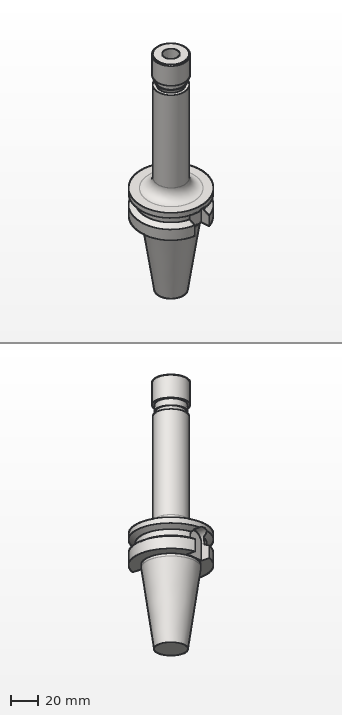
import cadquery as cq
import math

taper_length = 65.5
taper_large_radius = 22.2
taper_ratio = 7 / 24
taper_small_radius = taper_large_radius - taper_length * taper_ratio / 2
land_height = 2.0

flange_radius = 31.5
flange_bottom = taper_length + land_height
flange_top = flange_bottom + 25.2
groove_floor_radius = 26.5
groove_floor_height = 5.0
groove_side_height = 2.8
lower_rim_height = 10.0
lower_rim_top = flange_bottom + lower_rim_height
groove_floor_bottom = lower_rim_top + groove_side_height
groove_floor_top = groove_floor_bottom + groove_floor_height
upper_rim_bottom = groove_floor_top + groove_side_height

slot_width = 16.2
slot_height = 21.8
slot_floor_distance = 22.6

neck_radius = 13.5
neck_top = 187.5
neck_fillet = 10.0

total_height = 215.5
nut_radius = 14.2
nut_height = 19.0
nut_bottom = total_height - nut_height
nut_chamfer = 0.9
collar_radius = 12.3
collar_height = 5.4
collar_bottom = nut_bottom - collar_height
relief_top_radius = 11.6
relief_bottom_radius = 10.8

bore_radius = 6.5
bore_depth = 43


def make_body():
    """Revolve the half outline of the holder around the Z axis."""
    fillet_center_radius = neck_radius + neck_fillet
    fillet_center_z = flange_top + neck_fillet
    fillet_offset = neck_fillet * math.sqrt(0.5)
    fillet_middle = (fillet_center_radius - fillet_offset, fillet_center_z - fillet_offset)
    outline = (
        cq.Workplane("XZ")
        .lineTo(taper_small_radius, 0)
        .lineTo(taper_large_radius, taper_length)
        .lineTo(taper_large_radius, flange_bottom)
        .lineTo(flange_radius, flange_bottom)
        .lineTo(flange_radius, lower_rim_top)
        .lineTo(groove_floor_radius, groove_floor_bottom)
        .lineTo(groove_floor_radius, groove_floor_top)
        .lineTo(flange_radius, upper_rim_bottom)
        .lineTo(flange_radius, flange_top)
        .lineTo(fillet_center_radius, flange_top)
        .threePointArc(fillet_middle, (neck_radius, fillet_center_z))
        .lineTo(neck_radius, neck_top)
        .lineTo(relief_bottom_radius, neck_top)
        .lineTo(relief_top_radius, collar_bottom)
        .lineTo(collar_radius, collar_bottom)
        .lineTo(collar_radius, nut_bottom)
        .lineTo(nut_radius, nut_bottom)
        .lineTo(nut_radius, total_height - nut_chamfer)
        .lineTo(nut_radius - nut_chamfer, total_height)
        .lineTo(0, total_height)
        .close()
    )
    return outline.revolve(360, (0, 0, 0), (0, 1, 0))


def make_drive_slot(side):
    """Round-topped slot cutter outside the slot floor; side is -1 or +1 along X."""
    half_width = slot_width / 2
    crown_z = flange_bottom + slot_height
    arc_start_z = crown_z - half_width
    return (
        cq.Workplane("YZ", origin=(side * slot_floor_distance, 0, 0))
        .moveTo(-half_width, flange_bottom)
        .lineTo(-half_width, arc_start_z)
        .threePointArc((0, crown_z), (half_width, arc_start_z))
        .lineTo(half_width, flange_bottom)
        .close()
        .extrude(side * flange_radius)
    )


def make_bore():
    """Blind collet bore, open at the top."""
    return (
        cq.Workplane("XY", origin=(0, 0, total_height - bore_depth))
        .circle(bore_radius)
        .extrude(bore_depth)
    )


result = make_body().cut(make_bore())
for slot_side in (-1, 1):
    result = result.cut(make_drive_slot(slot_side))